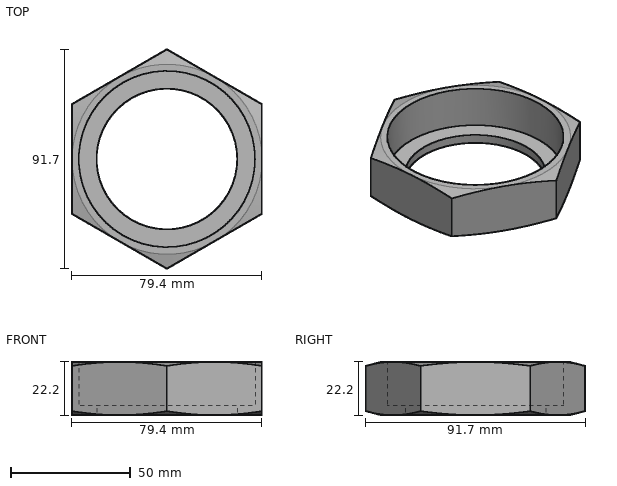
import cadquery as cq
import math

across_corners = 91.7
height = 22.2
bore_diameter = 58.7
counterbore_diameter = 73.6
floor_thickness = 4.0
chamfer_angle = 15.0

corner_radius = across_corners / 2
flat_radius = corner_radius * math.cos(math.radians(30))
corner_drop = (corner_radius - flat_radius) * math.tan(math.radians(chamfer_angle))


def hexagonal_blank():
    return (
        cq.Workplane("XY")
        .transformed(rotate=(0, 0, 90))
        .polygon(6, across_corners)
        .extrude(height)
    )


def chamfer_envelope():
    """Turned disc whose conical edges bevel the corners at both ends."""
    return (
        cq.Workplane("XZ")
        .moveTo(0, 0)
        .lineTo(flat_radius, 0)
        .lineTo(corner_radius, corner_drop)
        .lineTo(corner_radius, height - corner_drop)
        .lineTo(flat_radius, height)
        .lineTo(0, height)
        .close()
        .revolve(360, (0, 0, 0), (0, 1, 0))
    )


def stepped_bore():
    through_bore = cq.Workplane("XY").circle(bore_diameter / 2).extrude(height)
    counterbore = (
        cq.Workplane("XY")
        .workplane(offset=floor_thickness)
        .circle(counterbore_diameter / 2)
        .extrude(height - floor_thickness)
    )
    return through_bore.union(counterbore)


result = hexagonal_blank().intersect(chamfer_envelope()).cut(stepped_bore())